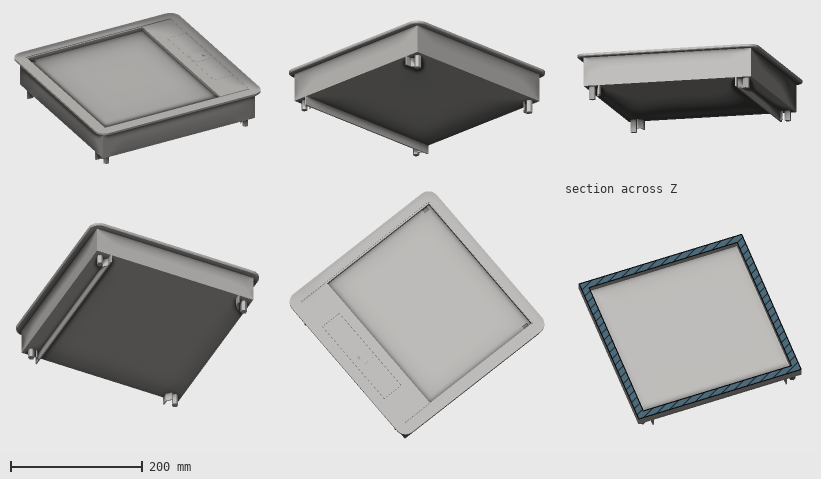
import cadquery as cq

flange_side = 285.0
flange_corner_radius = 16.5
flange_thickness = 4.3
flange_bevel = 1.0

box_side = 264.0
box_depth = 48.5
floor_thickness = 4.3
cavity_side = 239.5

opening_side = 251.5

lid_seat_depth = 12.8
lid_drop = 0.3
recess_depth = 7.7
side_rim_width = 2.3
side_rim_drop = 0.9
front_rim_width = 1.0
recess_back_y = 75.8

hinge_pocket_width = 6.8
hinge_pocket_length = 9.0
hinge_pocket_depth = 2.8
hinge_pocket_offset = 4.3

flap_width = 148.8
flap_front_y = 91.8
flap_thickness = 3.5
flap_clearance = 0.3
flap_corner_radius = 1.7

latch_width = 24.5
latch_front_y = 95.2
latch_back_y = 118.8
latch_height = 0.3
latch_corner_radius = 1.7
notch_radius = 3.5
notch_flat_y = 113.0
notch_depth = 1.0

foot_x = 121.5
foot_y = 120.5
foot_diameter = 9.7
left_foot_bottom = 67.8
right_foot_bottom = 63.5

rib_bottom = 62.5
rib_x = 109.0
rib_thickness = 2.0
rib_length = 9.0
rib_slant = 6.5

opening_half = opening_side / 2
box_half = box_side / 2
lid_top = -lid_drop
recess_side_x = opening_half - side_rim_width
recess_front_y = front_rim_width - opening_half


def block(x_min, x_max, y_min, y_max, z_min, z_max):
    """Box between two opposite corners."""
    size = (x_max - x_min, y_max - y_min, z_max - z_min)
    return cq.Workplane("XY").box(*size, centered=False).translate((x_min, y_min, z_min))


def square_block(side, top_z, height):
    """Square block centred on the Z axis, reaching down from top_z."""
    return cq.Workplane("XY").workplane(offset=top_z).rect(side, side).extrude(-height)


def make_flange():
    """Square rounded flange with a small bevel around its underside."""
    flange = square_block(flange_side, 0, flange_thickness)
    flange = flange.edges("|Z").fillet(flange_corner_radius)
    return flange.faces("<Z").edges().chamfer(flange_bevel)


def make_foot(side_x, side_y):
    """Hexagonal foot below the floor, with two flats facing along X."""
    bottom = left_foot_bottom if side_x < 0 else right_foot_bottom
    foot = cq.Workplane("XY").polygon(6, foot_diameter).extrude(-(bottom - box_depth))
    foot = foot.rotate((0, 0, 0), (0, 0, 1), 30)
    return foot.translate((side_x * foot_x, side_y * foot_y, -box_depth))


def make_corner_rib(side_x, side_y):
    """Bent rib beside a foot: straight along Y from the wall, then slanting outwards."""
    bend_y = box_half - rib_length
    slant_y = bend_y - rib_slant
    inner_x = rib_x - rib_thickness
    outline = [
        (rib_x, box_half),
        (rib_x, bend_y),
        (rib_x + rib_slant, slant_y),
        (inner_x + rib_slant, slant_y),
        (inner_x, bend_y),
        (inner_x, box_half),
    ]
    points = [(side_x * x, side_y * y) for x, y in outline]
    rib = cq.Workplane("XY").polyline(points).close().extrude(-(rib_bottom - box_depth))
    return rib.translate((0, 0, -box_depth))


def make_long_rib():
    """Straight rib along the +X side that joins its two corner ribs."""
    return block(rib_x - rib_thickness, rib_x, -box_half, box_half, -rib_bottom, -box_depth)


def make_housing():
    """Flanged box with a seat for the lid, a cavity, and feet and ribs below the floor."""
    housing = make_flange().union(square_block(box_side, 0, box_depth))
    housing = housing.cut(square_block(opening_side, 0, lid_seat_depth))
    housing = housing.cut(square_block(cavity_side, 0, box_depth - floor_thickness))
    for side_x in (-1, 1):
        for side_y in (-1, 1):
            housing = housing.union(make_foot(side_x, side_y))
            housing = housing.union(make_corner_rib(side_x, side_y))
    return housing.union(make_long_rib())


def make_flap_block(clearance):
    """Block of the flap's shape, smaller than its seat in the lid by a clearance all around."""
    flap_half = flap_width / 2 - clearance
    flap_block = block(
        -flap_half,
        flap_half,
        flap_front_y + clearance,
        opening_half - clearance,
        lid_top - flap_thickness,
        lid_top,
    )
    return flap_block.edges("|Z and >Y").fillet(flap_corner_radius)


def make_flap():
    """Cable outlet flap at the back of the lid, with a raised latch and its finger notch."""
    latch_half = latch_width / 2
    latch_top = lid_top + latch_height
    latch = block(-latch_half, latch_half, latch_front_y, latch_back_y, lid_top, latch_top)
    latch = latch.edges("|Z and >Y").fillet(latch_corner_radius)

    notch = (
        cq.Workplane("XY")
        .workplane(offset=latch_top)
        .moveTo(-notch_radius, notch_flat_y)
        .threePointArc((0, notch_flat_y + notch_radius), (notch_radius, notch_flat_y))
        .close()
        .extrude(-notch_depth)
    )
    return make_flap_block(flap_clearance).union(latch).cut(notch)


def make_lid():
    """Lid with a floor covering recess, two hinge pockets and a seat for the flap."""
    lid = square_block(opening_side, lid_top, lid_seat_depth - lid_drop)
    recess = block(-recess_side_x, recess_side_x, recess_front_y, recess_back_y, -recess_depth, lid_top)
    lid = lid.cut(recess)

    rim_top = lid_top - side_rim_drop
    rim_step = block(recess_side_x, opening_half, -opening_half, opening_half, rim_top, lid_top)
    lid = lid.cut(rim_step).cut(rim_step.mirror("YZ"))

    pocket_front_y = recess_front_y + hinge_pocket_offset
    pocket = block(
        recess_side_x - hinge_pocket_width,
        recess_side_x,
        pocket_front_y,
        pocket_front_y + hinge_pocket_length,
        -recess_depth - hinge_pocket_depth,
        -recess_depth,
    )
    lid = lid.cut(pocket).cut(pocket.mirror("YZ"))

    return lid.cut(make_flap_block(clearance=0))


housing = make_housing()
flap = make_flap()
lid = make_lid()

result = cq.Compound.makeCompound([housing.val(), lid.val(), flap.val()])